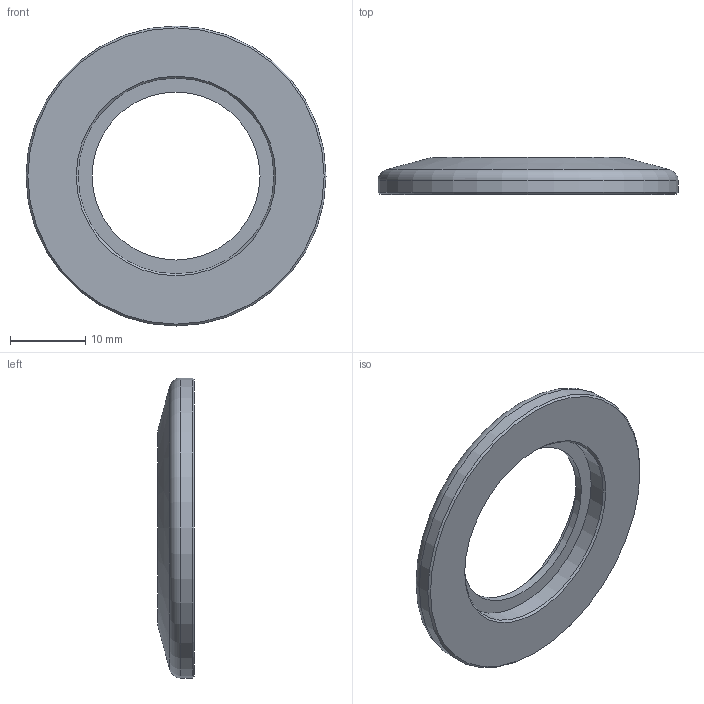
import cadquery as cq
import math

outer_radius = 20.0
bore_radius = 11.2
edge_break = 0.25

front_recess_radius = 13.05
front_recess_depth = 2.5
rear_recess_radius = 12.8
lip_thickness = 1.0
lip_rear_height = front_recess_depth + lip_thickness

total_height = 4.93
cone_angle = math.radians(15)
shoulder_radius = 1.5

arc_center_radius = outer_radius - shoulder_radius
cone_start_radius = arc_center_radius + shoulder_radius * math.sin(cone_angle)
cone_start_height = total_height - (cone_start_radius - rear_recess_radius) * math.tan(cone_angle)
rim_height = cone_start_height - shoulder_radius * math.cos(cone_angle)

arc_mid_angle = (math.pi / 2 - cone_angle) / 2
arc_mid_point = (
    arc_center_radius + shoulder_radius * math.cos(arc_mid_angle),
    rim_height + shoulder_radius * math.sin(arc_mid_angle),
)

half_section = (
    cq.Workplane("ZY")
    .moveTo(front_recess_radius + edge_break, 0)
    .lineTo(outer_radius - edge_break, 0)
    .lineTo(outer_radius, edge_break)
    .lineTo(outer_radius, rim_height)
    .threePointArc(arc_mid_point, (cone_start_radius, cone_start_height))
    .lineTo(rear_recess_radius, total_height)
    .lineTo(rear_recess_radius, lip_rear_height)
    .lineTo(bore_radius, lip_rear_height)
    .lineTo(bore_radius, front_recess_depth)
    .lineTo(front_recess_radius, front_recess_depth)
    .lineTo(front_recess_radius, edge_break)
    .close()
)

result = half_section.revolve(360, (0, 0, 0), (0, 1, 0))